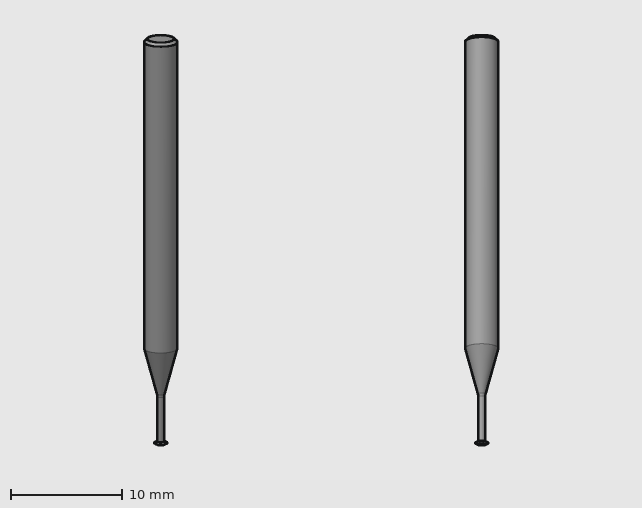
import cadquery as cq
import math

total_length = 38.0
shank_radius = 3.0 / 2
shank_chamfer = 0.3

shank_bottom = 9.0
taper_half_angle = math.radians(15)
blend_radius = 1.0

neck_radius = 0.65 / 2
disc_radius = 1.18 / 2
disc_half_height = 0.15


def blend_point(angle):
    """Point (radius, height above blend start) where the blend leans outward by angle."""
    return (
        neck_radius + blend_radius * (1 - math.cos(angle)),
        blend_radius * math.sin(angle),
    )


blend_mid_radius, blend_mid_rise = blend_point(taper_half_angle / 2)
taper_tip_radius, blend_height = blend_point(taper_half_angle)
taper_height = (shank_radius - taper_tip_radius) / math.tan(taper_half_angle)
taper_bottom = shank_bottom - taper_height
neck_top = taper_bottom - blend_height

profile = (
    cq.Workplane("XZ")
    .moveTo(0, 0)
    .lineTo(neck_radius, 0)
    .lineTo(disc_radius, disc_half_height)
    .lineTo(neck_radius, 2 * disc_half_height)
    .lineTo(neck_radius, neck_top)
    .threePointArc((blend_mid_radius, neck_top + blend_mid_rise), (taper_tip_radius, taper_bottom))
    .lineTo(shank_radius, shank_bottom)
    .lineTo(shank_radius, total_length - shank_chamfer)
    .lineTo(shank_radius - shank_chamfer, total_length)
    .lineTo(0, total_length)
    .close()
)

result = profile.revolve(360, (0, 0, 0), (0, 1, 0))